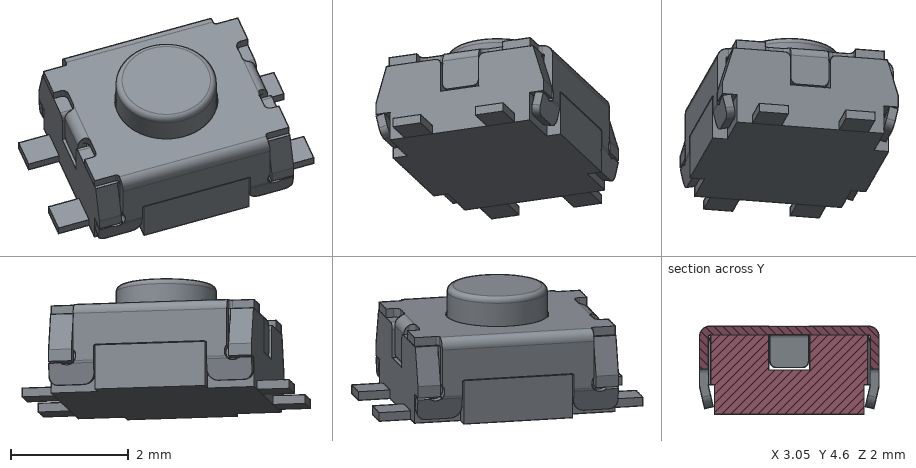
import cadquery as cq
import math


total_length = 4.6
total_height = 2.0
body_width = 3.05
body_length = 3.5
cover_top = 1.5
sheet = 0.15
bend_radius = 0.185

half_width = body_width / 2
half_length = body_length / 2
housing_top = cover_top - sheet
inner_bend_radius = bend_radius - sheet

housing_top_half_width = 1.335
taper_foot = 0.705
shoulder_start = 1.355
corner_depth = 0.255
corner_height = 0.5
boss_half_length = 0.948
boss_height = 0.76
channel_half_width = 0.345
channel_floor = 0.755
channel_rounding = 0.1

hole_diameter = 1.75
wall_half_length = 1.325
corner_half_width = 1.285
corner_fillet = 0.05
window_half_length = 0.975
window_height = 0.775
window_fillet = 0.05

tab_half_width = 0.325
tab_setback = 0.04
tab_bottom = 0.795
tab_fillet = 0.1
tab_notch_half_width = 0.78
tab_notch_depth = 0.23
tab_notch_fillet = 0.1
tab_root_fillet = 0.1

leg_angle = 13.0
leg_bottom = 0.095
leg_outer_fillet = 0.15
leg_inner_fillet = 0.2
hook_rise = 0.007
relief_radius = 0.15
relief_y = 1.435
relief_z = 0.585

button_diameter = 1.7
button_fillet = 0.1
terminal_width = 0.5
terminal_spacing = 1.5


def block(x_range, y_range, z_range):
    """Box given by its (low, high) limits on each axis."""
    size = [high - low for low, high in (x_range, y_range, z_range)]
    corner = (x_range[0], y_range[0], z_range[0])
    return cq.Workplane("XY").box(*size, centered=False).translate(corner)


def mirrored_x(shape):
    return shape.union(shape.mirror("YZ"))


def mirrored_y(shape):
    return shape.union(shape.mirror("XZ"))


def channel_rounding_cut():
    """Material that rounds the channel's +X upper edge at the +Y end, beside the cover tab."""
    outer = channel_half_width + channel_rounding
    return (
        cq.Workplane("XZ", origin=(0, half_length, 0))
        .moveTo(channel_half_width, housing_top)
        .lineTo(channel_half_width, housing_top - channel_rounding)
        .radiusArc((outer, housing_top), channel_rounding)
        .close()
        .extrude(tab_notch_depth)
    )


def make_housing():
    notch_x = half_width - corner_depth
    shouldered = (
        cq.Workplane("XZ")
        .polyline([
            (-half_width, 0),
            (half_width, 0),
            (half_width, taper_foot),
            (housing_top_half_width, housing_top),
            (-housing_top_half_width, housing_top),
            (-half_width, taper_foot),
        ])
        .close()
        .extrude(half_length, both=True)
    )
    wall_recess = block(
        (housing_top_half_width, half_width),
        (-shoulder_start, shoulder_start),
        (0, housing_top),
    )
    leg_notches = block((notch_x, half_width), (-half_length, half_length), (0, corner_height))
    boss = block((notch_x, half_width), (-boss_half_length, boss_half_length), (0, boss_height))
    channel = block(
        (-channel_half_width, channel_half_width),
        (-half_length, half_length),
        (channel_floor, housing_top),
    )
    return (
        shouldered
        .cut(mirrored_x(wall_recess))
        .cut(mirrored_x(leg_notches))
        .union(mirrored_x(boss))
        .cut(channel)
        .cut(mirrored_y(mirrored_x(channel_rounding_cut())))
    )


def bent_strip(plane, inner_reach, face, bottom, half_run):
    """Flat top strip bent down through a right angle, its outer face at `face`."""
    arc_start = face - bend_radius
    return (
        cq.Workplane(plane)
        .moveTo(inner_reach, cover_top)
        .lineTo(arc_start, cover_top)
        .radiusArc((face, cover_top - bend_radius), bend_radius)
        .lineTo(face, bottom)
        .lineTo(face - sheet, bottom)
        .lineTo(face - sheet, cover_top - bend_radius)
        .radiusArc((arc_start, housing_top), -inner_bend_radius)
        .lineTo(inner_reach, housing_top)
        .close()
        .extrude(half_run, both=True)
    )


def make_plate():
    """Top plate with its narrowed corners, end notches and button hole."""
    side_cut = block(
        (corner_half_width, half_width),
        (wall_half_length, half_length),
        (housing_top, cover_top),
    ).edges("|Z and <X and <Y").fillet(corner_fillet)
    plate = block(
        (-half_width + bend_radius, half_width - bend_radius),
        (-half_length, half_length),
        (housing_top, cover_top),
    )
    notch = block(
        (-tab_notch_half_width, tab_notch_half_width),
        (half_length - tab_notch_depth, half_length),
        (housing_top, cover_top),
    ).edges("|Z and <Y").fillet(tab_notch_fillet)
    return (
        plate
        .cut(mirrored_y(mirrored_x(side_cut)))
        .cut(mirrored_y(notch))
        .cut(cq.Workplane("XY").circle(hole_diameter / 2).extrude(cover_top))
    )


def make_tab():
    """Tab bent down at the +Y end, flaring out where it leaves the plate."""
    face = half_length - tab_setback
    root = half_length - tab_notch_depth
    flare_half_width = tab_half_width + tab_root_fillet
    flare_end = root + tab_root_fillet
    strip = (
        bent_strip("YZ", root, face, tab_bottom, tab_half_width)
        .edges("|Y and <Z")
        .fillet(tab_fillet)
    )
    flare_outline = (
        cq.Workplane("XY")
        .workplane(offset=housing_top)
        .moveTo(-flare_half_width, root)
        .lineTo(flare_half_width, root)
        .radiusArc((tab_half_width, flare_end), tab_root_fillet)
        .lineTo(-tab_half_width, flare_end)
        .radiusArc((-flare_half_width, root), tab_root_fillet)
        .close()
        .extrude(sheet)
    )
    wide_strip = bent_strip("YZ", root, face, tab_bottom, flare_half_width)
    return strip.union(flare_outline.intersect(wide_strip))


def make_leg():
    """Leg at +X, +Y: a short bend inwards, then a flat plate with a hook."""
    axis_x = half_width - bend_radius
    angle = math.radians(leg_angle)
    bend_foot = corner_height - bend_radius * math.sin(angle)
    length = (bend_foot - leg_bottom) / math.cos(angle)

    def bend_point(radius, turn):
        return (axis_x + radius * math.cos(turn), corner_height - radius * math.sin(turn))

    bend = (
        cq.Workplane("XZ", origin=(0, wall_half_length, 0))
        .moveTo(*bend_point(inner_bend_radius, 0))
        .lineTo(*bend_point(bend_radius, 0))
        .threePointArc(bend_point(bend_radius, angle / 2), bend_point(bend_radius, angle))
        .lineTo(*bend_point(inner_bend_radius, angle))
        .threePointArc(
            bend_point(inner_bend_radius, angle / 2), bend_point(inner_bend_radius, 0)
        )
        .close()
        .extrude(wall_half_length - window_half_length)
    )
    x_range = (half_width - sheet, half_width)
    flat = (
        block(x_range, (window_half_length, half_length), (corner_height - length, corner_height))
        .edges("|X and <Z and >Y").fillet(leg_outer_fillet)
        .edges("|X and <Z and <Y").fillet(leg_inner_fillet)
    )
    hook = block(x_range, (relief_y, half_length), (corner_height, corner_height + hook_rise))
    tilted = flat.union(hook).rotate(
        (axis_x, 0, corner_height), (axis_x, 1, corner_height), leg_angle
    )
    return bend.union(tilted)


def make_side():
    """Wall at +X with its window, two legs and the reliefs above their hooks."""
    wall = bent_strip("XZ", corner_half_width, half_width, corner_height, wall_half_length)
    window = block(
        (half_width - sheet, half_width),
        (-window_half_length, window_half_length),
        (0, window_height),
    ).edges("|X and >Z").fillet(window_fillet)
    relief = (
        cq.Workplane("YZ")
        .center(relief_y, relief_z)
        .circle(relief_radius)
        .extrude(half_width)
    )
    return wall.cut(window).union(mirrored_y(make_leg())).cut(mirrored_y(relief))


def make_cover():
    return (
        make_plate()
        .union(mirrored_y(make_tab()))
        .union(mirrored_x(make_side()))
    )


def make_button():
    """Round button standing on the housing top, inside the cover hole."""
    return (
        cq.Workplane("XY")
        .workplane(offset=housing_top)
        .circle(button_diameter / 2)
        .extrude(total_height - housing_top)
        .faces(">Z")
        .edges()
        .fillet(button_fillet)
    )


def make_terminal(side_x, side_y):
    """Flat terminal butting against an end face of the housing."""
    length = total_length / 2 - half_length
    return (
        cq.Workplane("XY")
        .box(terminal_width, length, sheet, centered=(True, True, False))
        .translate((side_x * terminal_spacing / 2, side_y * (half_length + length / 2), 0))
    )


housing = make_housing()
cover = make_cover()
button = make_button()
terminals = [make_terminal(side_x, side_y) for side_x in (-1, 1) for side_y in (-1, 1)]

result = cq.Compound.makeCompound([
    housing.val(),
    cover.val(),
    button.val(),
    *[terminal.val() for terminal in terminals],
])